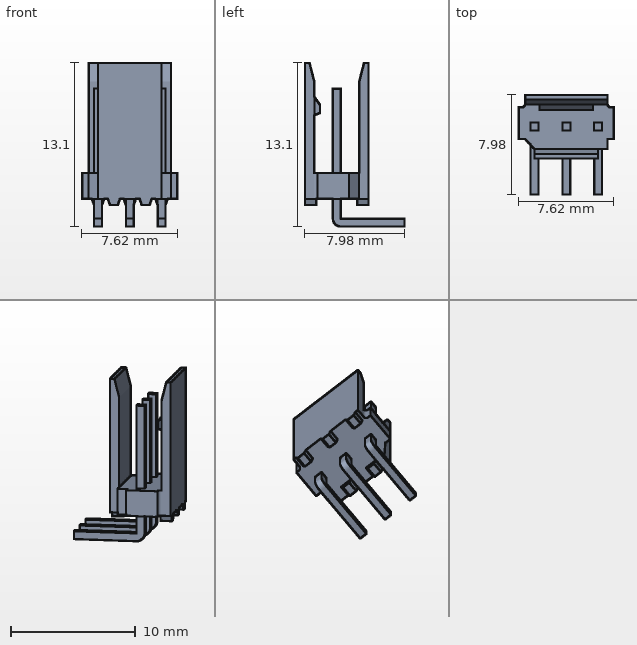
import cadquery as cq

pitch = 2.55
pin_count = 3
pin_size = 0.64
pin_top = 11.06
overall_depth = 7.98

base_bottom = 2.23
base_height = 2.09
base_width = 7.62
base_depth = pitch
base_back = 1.56
base_front = base_back - base_depth
inner_corner_radius = 0.25

wall_face = pitch
wall_thickness = 0.76
wall_tip_thickness = 0.37
wall_top = 13.12
wall_taper_height = 1.52
back_wall_width = 6.61
front_wall_width = 5.12
wall_inner = wall_face - wall_thickness
tail_length = overall_depth - wall_face

latch_width = 4.32
latch_reach = 0.46
latch_bottom = 8.92
latch_nose_bottom = 9.1
latch_nose_top = 9.74
latch_top = 10.39

foot_height = 0.5
foot_depth = 0.9
foot_root_width = 1.0
foot_tip_width = pin_size


def extrude_along_x(profile_yz, width):
    """Extrude a closed (Y, Z) outline symmetrically about X = 0."""
    start = cq.Workplane("YZ").workplane(offset=-width / 2)
    return start.polyline(profile_yz).close().extrude(width)


def make_base():
    """Wide block with narrower stretches reaching the two walls and one bevelled front corner."""
    half_width = base_width / 2
    half_neck = back_wall_width / 2
    half_front = front_wall_width / 2
    arc_back = base_back + inner_corner_radius
    arc_side = half_neck + inner_corner_radius
    return (
        cq.Workplane("XY")
        .workplane(offset=base_bottom)
        .moveTo(-half_neck, arc_back)
        .radiusArc((-arc_side, base_back), inner_corner_radius)
        .lineTo(-half_width, base_back)
        .lineTo(-half_width, base_front)
        .lineTo(-half_neck, base_front)
        .lineTo(-half_front, -wall_inner)
        .lineTo(half_neck, -wall_inner)
        .lineTo(half_neck, base_front)
        .lineTo(half_width, base_front)
        .lineTo(half_width, base_back)
        .lineTo(arc_side, base_back)
        .radiusArc((half_neck, arc_back), inner_corner_radius)
        .close()
        .extrude(base_height)
    )


def make_wall(side, width):
    """Upright wall with a tapered lead-in; side is +1 for the back and -1 for the front."""
    profile = [
        (side * wall_face, base_bottom),
        (side * wall_face, wall_top),
        (side * (wall_face - wall_tip_thickness), wall_top),
        (side * wall_inner, wall_top - wall_taper_height),
        (side * wall_inner, base_bottom),
    ]
    return extrude_along_x(profile, width)


def make_latch():
    """Ridge that snaps over the mating housing."""
    nose = wall_inner - latch_reach
    profile = [
        (wall_inner, latch_bottom),
        (nose, latch_nose_bottom),
        (nose, latch_nose_top),
        (wall_inner, latch_top),
    ]
    return extrude_along_x(profile, latch_width)


def make_foot(x_center, side):
    """Trapezoidal standoff flush with the outer face of one wall."""
    half_root = foot_root_width / 2
    half_tip = foot_tip_width / 2
    foot_back = wall_face if side > 0 else foot_depth - wall_face
    outline = [
        (x_center - half_root, base_bottom),
        (x_center - half_tip, base_bottom - foot_height),
        (x_center + half_tip, base_bottom - foot_height),
        (x_center + half_root, base_bottom),
    ]
    return cq.Workplane("XZ", origin=(0, foot_back, 0)).polyline(outline).close().extrude(foot_depth)


def make_pin(x_center):
    """Square pin bent forward, sharp inside the bend and rounded outside it."""
    half = pin_size / 2
    return (
        cq.Workplane("YZ")
        .workplane(offset=x_center - half)
        .moveTo(half, pin_top)
        .lineTo(half, pin_size)
        .radiusArc((-half, 0), pin_size)
        .lineTo(-tail_length, 0)
        .lineTo(-tail_length, pin_size)
        .lineTo(-half, pin_size)
        .lineTo(-half, pin_top)
        .close()
        .extrude(pin_size)
    )


result = make_base()
result = result.union(make_wall(1, back_wall_width))
result = result.union(make_wall(-1, front_wall_width))
result = result.union(make_latch())

for index in range(pin_count):
    pin_x = (index - (pin_count - 1) / 2) * pitch
    result = result.union(make_pin(pin_x))
    result = result.union(make_foot(pin_x, 1))
    if index < pin_count - 1:
        result = result.union(make_foot(pin_x + pitch / 2, -1))